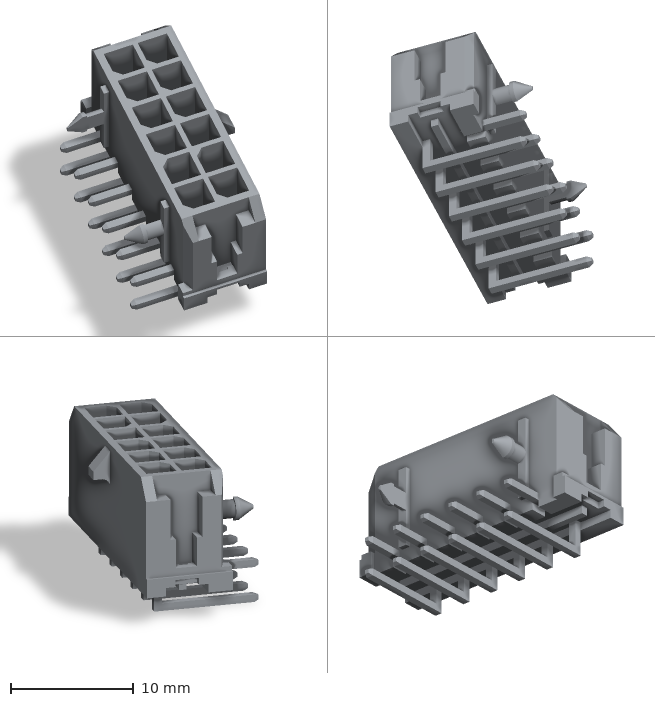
import cadquery as cq

core_half_width = 9.41
side_half_width = 10.83
base_half_width = 11.08
housing_depth = 6.87
housing_height = 9.9
mid_y = housing_depth / 2

cheek_height = 8.2
ramp_thickness = 0.95
corner_bevel_width = 1.06
corner_bevel_depth = 0.42
upper_slot_width = 2.72
upper_slot_floor = 4.75
lower_slot_width = 1.8
lower_slot_floor = 2.25
floor_recess_depth = 0.15
floor_recess_x = 9.83
floor_notch_x = 10.12
floor_notch_width = 0.8

flange_height = 1.6
foot_inner_x = 9.83
foot_height = 2.0
foot_reach = 0.47
channel_width = 3.63
channel_height = 0.73
flange_recess_width = 2.02
flange_recess_depth = 0.62
flange_recess_top = 1.33
bottom_rib_width = 0.62

columns = 6
column_span = 15.0
pitch = column_span / (columns - 1)
row_y = [mid_y - pitch / 2, mid_y + pitch / 2]
cavity_size = 2.57
cavity_bevel = 0.66
cavity_depth = 7.53
front_bevels = "RRRRLR"
back_bevels = "RRR-LR"
pin_width = 0.66
pin_height = 0.65
pin_drop = 2.35
pin_end_y = -3.68
pin_tip_length = 0.4
pin_tip_size = 0.35
lower_pin_z = pin_height / 2 - pin_drop
upper_pin_z = lower_pin_z + pitch

peg_flat_x = 6.02
peg_z = 5.25
peg_radius = 0.8
peg_collar_radius = 1.0
peg_collar_y = -1.97
peg_cone_y = -2.33
peg_cone_end_y = -3.5
peg_cone_end_radius = 0.29
peg_end_radius = 0.2
peg_rib_bottom = 1.26
peg_rib_top = 8.46

latch_width = 1.45
latch_reach = 1.42
latch_top = 9.3
latch_nose_top = 7.69
latch_nose_bottom = 6.95
latch_root_bottom = 6.42
latch_arc_start = 0.62
latch_arc_mid = (0.25, 6.78)


def block(x0, x1, y0, y1, z0, z1):
    return cq.Workplane("XY").box(x1 - x0, y1 - y0, z1 - z0, centered=False).translate((x0, y0, z0))


def both_sides(solid):
    return solid.union(solid.mirror("YZ"))


def column_x(column):
    return column * pitch - column_span / 2


def side_cheek():
    """Cheek on the +X side: a low block with a ramp at each end, bevelled in front and slotted."""
    cheek = block(core_half_width, side_half_width, 0, housing_depth, 0, cheek_height)
    ramp_outline = [
        (core_half_width, cheek_height),
        (side_half_width, cheek_height),
        (core_half_width, housing_height),
    ]
    for far_y in (ramp_thickness, housing_depth):
        ramp_plane = cq.Workplane("XZ", origin=(0, far_y, 0))
        ramp = ramp_plane.polyline(ramp_outline).close().extrude(ramp_thickness)
        cheek = cheek.union(ramp)

    bevel = (
        cq.Workplane("XY")
        .moveTo(side_half_width, 0)
        .lineTo(side_half_width, corner_bevel_depth)
        .lineTo(side_half_width - corner_bevel_width, 0)
        .close()
        .extrude(housing_height)
    )
    cheek = cheek.cut(bevel)

    for width, floor in ((upper_slot_width, upper_slot_floor), (lower_slot_width, lower_slot_floor)):
        y0 = mid_y - width / 2
        cheek = cheek.cut(block(core_half_width, side_half_width, y0, y0 + width, floor, housing_height))

    recess_floor = lower_slot_floor - floor_recess_depth
    for width, outer_x in ((lower_slot_width, floor_recess_x), (floor_notch_width, floor_notch_x)):
        y0 = mid_y - width / 2
        cheek = cheek.cut(block(core_half_width, outer_x, y0, y0 + width, recess_floor, lower_slot_floor))
    return cheek


def side_base():
    """Outer flange and front foot on the +X side."""
    flange = block(side_half_width, base_half_width, -foot_reach, housing_depth, 0, flange_height)
    foot = block(foot_inner_x, side_half_width, -foot_reach, corner_bevel_depth, 0, foot_height)
    return flange.union(foot)


def flange_recess():
    """Pocket in the outer face of the +X flange, open to the channel below."""
    y0 = mid_y - flange_recess_width / 2
    x0 = base_half_width - flange_recess_depth
    return block(x0, base_half_width, y0, y0 + flange_recess_width, 0, flange_recess_top)


def cavity(x, y, bevel):
    half = cavity_size / 2
    well = block(x - half, x + half, y - half, y + half, housing_height - cavity_depth, housing_height)
    if bevel == "R":
        well = well.edges("|Z and >X and <Y").chamfer(cavity_bevel)
    elif bevel == "L":
        well = well.edges("|Z and <X and <Y").chamfer(cavity_bevel)
    return well


def pin(x, z, back_y):
    """Straight pin along Y with a tapered end toward the board."""
    taper_y = pin_end_y + pin_tip_length
    shank = block(
        x - pin_width / 2, x + pin_width / 2, taper_y, back_y, z - pin_height / 2, z + pin_height / 2
    )
    tip = (
        cq.Workplane("XZ", origin=(x, taper_y, z))
        .rect(pin_width, pin_height)
        .workplane(offset=pin_tip_length)
        .rect(pin_tip_size, pin_tip_size)
        .loft(ruled=True)
    )
    return shank.union(tip)


def contact_pair(x):
    """Upper straight pin of the front row and lower bent pin of the back row."""
    front_row, back_row = row_y
    upper = pin(x, upper_pin_z, front_row)
    leg_back = back_row + pin_width / 2
    lower = pin(x, lower_pin_z, leg_back)
    leg = block(
        x - pin_width / 2, x + pin_width / 2, leg_back - pin_width, leg_back, lower_pin_z, upper_pin_z
    )
    return upper.union(lower).union(leg)


def board_peg():
    """Half-round peg on the +X side with the rib that backs it."""
    profile = [
        (0, 0),
        (peg_radius, 0),
        (peg_radius, peg_collar_y),
        (peg_collar_radius, peg_collar_y),
        (peg_collar_radius, peg_cone_y),
        (peg_cone_end_radius, peg_cone_end_y),
        (peg_end_radius, pin_end_y),
        (0, pin_end_y),
    ]
    peg = cq.Workplane("XY").polyline(profile).close().revolve(360, (0, 0), (0, 1))
    outer_half = block(0, peg_collar_radius, pin_end_y, 0, -peg_collar_radius, peg_collar_radius)
    half_peg = peg.intersect(outer_half).translate((peg_flat_x, 0, peg_z))
    rib = block(peg_flat_x, peg_flat_x + peg_radius, -foot_reach, 0, peg_rib_bottom, peg_rib_top)
    return half_peg.union(rib)


def latch():
    back = housing_depth
    return (
        cq.Workplane("YZ", origin=(-latch_width / 2, 0, 0))
        .moveTo(back, latch_top)
        .lineTo(back + latch_reach, latch_nose_top)
        .lineTo(back + latch_reach, latch_nose_bottom)
        .lineTo(back + latch_arc_start, latch_nose_bottom)
        .threePointArc((back + latch_arc_mid[0], latch_arc_mid[1]), (back, latch_root_bottom))
        .close()
        .extrude(latch_width)
    )


housing = block(-core_half_width, core_half_width, 0, housing_depth, 0, housing_height)
housing = housing.union(both_sides(side_cheek())).union(both_sides(side_base()))

channel_y = mid_y - channel_width / 2
channel_end_y = channel_y + channel_width
housing = housing.cut(
    block(-base_half_width, base_half_width, channel_y, channel_end_y, 0, channel_height)
)
housing = housing.cut(flange_recess()).cut(flange_recess().mirror("YZ"))
bottom_rib_y = mid_y - bottom_rib_width / 2
housing = housing.union(
    block(-foot_inner_x, foot_inner_x, bottom_rib_y, bottom_rib_y + bottom_rib_width, 0, channel_height)
)

for y, bevels in zip(row_y, (front_bevels, back_bevels)):
    for column, bevel in enumerate(bevels):
        housing = housing.cut(cavity(column_x(column), y, bevel))
notch_top = upper_pin_z + pin_height / 2
for column in range(columns):
    notch_x = column_x(column) - pin_width / 2
    housing = housing.cut(block(notch_x, notch_x + pin_width, 0, channel_y, 0, notch_top))

result = housing.union(both_sides(board_peg())).union(latch())
for column in range(columns):
    result = result.union(contact_pair(column_x(column)))